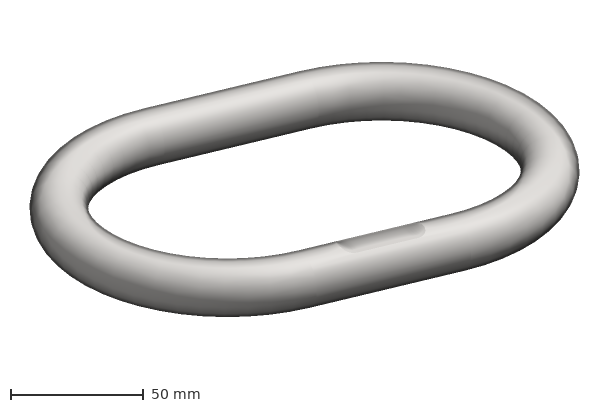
import cadquery as cq

LENGTH = 214.0
WIDTH = 149.0
BAR_DIAMETER = 22.0

FLAT_WIDTH = 11.5
FLAT_FLOOR_LENGTH = 24.0
FLAT_END_RADIUS = 11.1
END_BOW_RADIUS = 21.5

bar_radius = BAR_DIAMETER / 2
bend_radius = (WIDTH - BAR_DIAMETER) / 2
straight_length = LENGTH - WIDTH
flat_floor_height = (bar_radius**2 - (FLAT_WIDTH / 2) ** 2) ** 0.5


def straight_leg(x):
    """Round bar along Y at the given X position."""
    return (
        cq.Workplane("XZ", origin=(x, straight_length / 2, 0))
        .circle(bar_radius)
        .extrude(straight_length)
    )


def end_bend(side):
    """Half-torus joining the legs at the +Y (side=1) or -Y (side=-1) end."""
    return (
        cq.Workplane("XZ", origin=(0, side * straight_length / 2, 0))
        .center(side * bend_radius, 0)
        .circle(bar_radius)
        .revolve(180, (-side * bend_radius, 0), (-side * bend_radius, 1))
    )


def end_ramp(side):
    """Round mound with a concave flank, bowed toward the middle of the flat."""
    centre_y = side * (FLAT_FLOOR_LENGTH / 2 + END_BOW_RADIUS)
    arc_drop = FLAT_END_RADIUS * 0.5**0.5
    crest_radius = END_BOW_RADIUS - FLAT_END_RADIUS
    crest_height = flat_floor_height + FLAT_END_RADIUS
    return (
        cq.Workplane("XZ", origin=(bend_radius, centre_y, 0))
        .moveTo(0, flat_floor_height)
        .lineTo(END_BOW_RADIUS, flat_floor_height)
        .threePointArc((END_BOW_RADIUS - arc_drop, crest_height - arc_drop), (crest_radius, crest_height))
        .lineTo(0, crest_height)
        .close()
        .revolve(360, (0, 0), (0, 1))
    )


def flat_cutter():
    """Block with a flat underside, hollowed at both ends by the curved ramps."""
    block = cq.Workplane("XY", origin=(bend_radius, 0, flat_floor_height)).box(
        BAR_DIAMETER,
        FLAT_FLOOR_LENGTH + 2 * FLAT_END_RADIUS,
        bar_radius - flat_floor_height,
        centered=(True, True, False),
    )
    for side in (1, -1):
        block = block.cut(end_ramp(side))
    return block


link = straight_leg(bend_radius).union(straight_leg(-bend_radius))
for side in (1, -1):
    link = link.union(end_bend(side))

result = link.cut(flat_cutter())